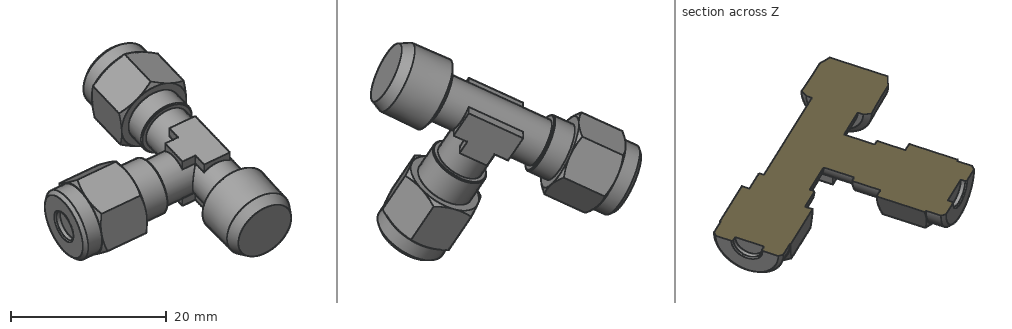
import cadquery as cq
import math

ORIGIN = (0, 0, 0)
X_AXIS = (1, 0, 0)
Y_AXIS = (0, 1, 0)
Z_AXIS = (0, 0, 1)

NUT_RUN_END = 20.0
NUT_BRANCH_END = 21.0
HEAD_END = 15.0
COLLAR_INNER = 7.5
PIPE_RADIUS = 3.25
COLLAR_RADIUS = 3.95
COLLAR_CHAMFER = 0.15

NUT_SIDES = 6
NUT_ACROSS_FLATS = 10.0
NUT_CORNER_RADIUS = NUT_ACROSS_FLATS / math.sqrt(3)
NUT_FACE_RADIUS = NUT_ACROSS_FLATS / 2
NUT_CHAMFER_ANGLE = math.radians(30)
NUT_CHAMFER_DEPTH = (NUT_CORNER_RADIUS - NUT_FACE_RADIUS) * math.tan(NUT_CHAMFER_ANGLE)
NUT_HEX_LENGTH = 6.9
NOSE_RADIUS = 4.9
NOSE_LENGTH = 2.6
NOSE_CHAMFER = 0.5
BORE_RADIUS = 2.0
BORE_DEPTH = 0.8
BORE_CHAMFER = 0.2
RUN_NUT_TURN = -2.27
BRANCH_NUT_TURN = -16.0

HEAD_START = 7.45
HEAD_RIM = 8.0
HEAD_CHAMFER_START = 13.5
HEAD_START_RADIUS = 4.0
HEAD_RIM_RADIUS = 4.95
HEAD_TAPER_RADIUS = 4.85
HEAD_END_RADIUS = 4.1

FLAT_HALF_LENGTH = 4.0
FLAT_HALF_WIDTH = 2.0
FLAT_HALF_HEIGHT = 4.0


def revolved(profile):
    """Revolve (radius, height) points about Z."""
    return cq.Workplane("XZ").polyline(profile).close().revolve(360, ORIGIN, Y_AXIS)


def hex_section(turn):
    """Hexagon with both ends chamfered, one corner `turn` degrees from +X."""
    prism = (
        cq.Workplane("XY")
        .polygon(NUT_SIDES, 2 * NUT_CORNER_RADIUS)
        .extrude(NUT_HEX_LENGTH)
        .rotate(ORIGIN, Z_AXIS, turn)
    )
    envelope = revolved([
        (0, 0),
        (NUT_FACE_RADIUS, 0),
        (NUT_CORNER_RADIUS, NUT_CHAMFER_DEPTH),
        (NUT_CORNER_RADIUS, NUT_HEX_LENGTH - NUT_CHAMFER_DEPTH),
        (NUT_FACE_RADIUS, NUT_HEX_LENGTH),
        (0, NUT_HEX_LENGTH),
    ])
    return prism.intersect(envelope)


def fitting_nut(end, turn):
    """Collar and nut about Z, with the outer face at height `end`."""
    nose_start = end - NOSE_LENGTH
    hex_start = nose_start - NUT_HEX_LENGTH
    core = revolved([
        (0, COLLAR_INNER),
        (COLLAR_RADIUS - COLLAR_CHAMFER, COLLAR_INNER),
        (COLLAR_RADIUS, COLLAR_INNER + COLLAR_CHAMFER),
        (COLLAR_RADIUS, nose_start),
        (NOSE_RADIUS, nose_start),
        (NOSE_RADIUS, end - NOSE_CHAMFER),
        (NOSE_RADIUS - NOSE_CHAMFER, end),
        (0, end),
    ])
    bore = revolved([
        (0, end - BORE_DEPTH),
        (BORE_RADIUS, end - BORE_DEPTH),
        (BORE_RADIUS, end - BORE_CHAMFER),
        (BORE_RADIUS + BORE_CHAMFER, end),
        (0, end),
    ])
    return core.union(hex_section(turn).translate((0, 0, hex_start))).cut(bore)


def tapered_head():
    """Head about Z, widening to a rim and narrowing slightly toward its chamfered end."""
    return revolved([
        (0, HEAD_END),
        (0, HEAD_START),
        (HEAD_START_RADIUS, HEAD_START),
        (HEAD_RIM_RADIUS, HEAD_RIM),
        (HEAD_TAPER_RADIUS, HEAD_CHAMFER_START),
        (HEAD_END_RADIUS, HEAD_END),
    ])


def pipe_tee():
    """Run pipe between collar and head, and the branch pipe out to its collar."""
    run_length = COLLAR_INNER + HEAD_START
    run = cq.Workplane("YZ", origin=(-COLLAR_INNER, 0, 0)).circle(PIPE_RADIUS).extrude(run_length)
    branch = cq.Workplane("XZ").circle(PIPE_RADIUS).extrude(COLLAR_INNER)
    return run.union(branch)


def junction_flats():
    """T-shaped block, standing proud of the pipes above and below."""
    height = 2 * FLAT_HALF_HEIGHT
    bar = cq.Workplane("XY").box(2 * FLAT_HALF_LENGTH, 2 * FLAT_HALF_WIDTH, height)
    stem = (
        cq.Workplane("XY")
        .box(2 * FLAT_HALF_WIDTH, FLAT_HALF_LENGTH, height)
        .translate((0, -FLAT_HALF_LENGTH / 2, 0))
    )
    return bar.union(stem)


run_nut = fitting_nut(NUT_RUN_END, RUN_NUT_TURN).rotate(ORIGIN, Y_AXIS, -90)
branch_nut = fitting_nut(NUT_BRANCH_END, BRANCH_NUT_TURN).rotate(ORIGIN, X_AXIS, 90)
head = tapered_head().rotate(ORIGIN, Y_AXIS, 90)

result = pipe_tee().union(junction_flats()).union(run_nut).union(branch_nut).union(head)